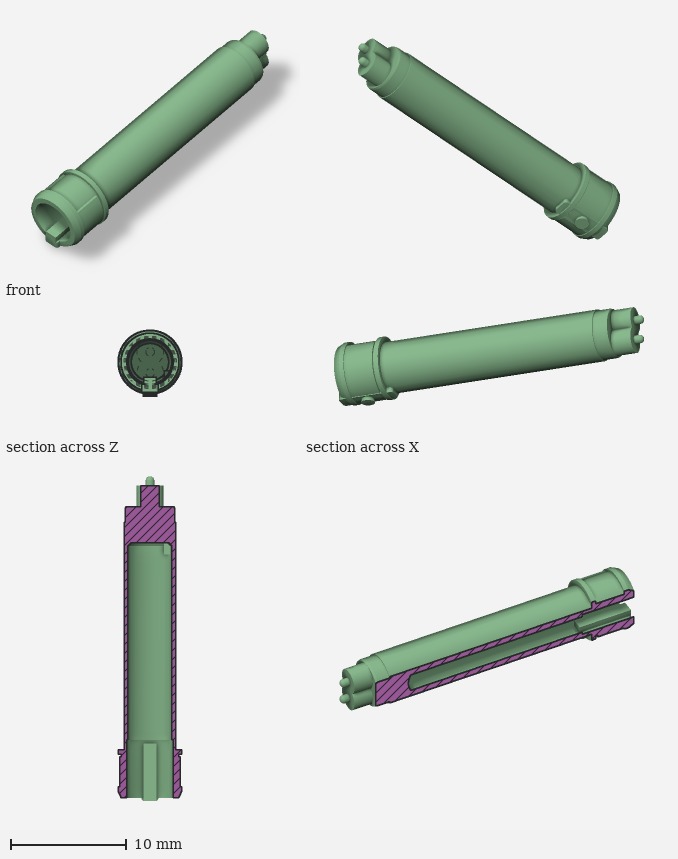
import cadquery as cq


flange_radius = 2.75
mouth_radius = 2.5
mouth_chamfer_length = 0.55
front_rim_end = 0.97
sleeve_radius = 2.5
pad_radius = 2.64
pad_top_z = 1.8
pad_end = 3.58
rear_flange_start = 3.73
rear_flange_end = 4.16

tube_radius = 2.26
tube_end = 23.8
neck_radius = 2.16
neck_end = 25.13
neck_chamfer = 0.2
neck_chamfer_depth = 0.06

bore_mouth_radius = 2.0
bore_inner_radius = 1.88
bore_floor_radius = 1.61
bore_step_y = 5.0
bore_floor_y = 22.0
bore_cone_length = 0.3

stop_left_x = 1.22
stop_top_z = -0.73
stop_length = 1.0

key_front = -0.28
key_rear = 4.71
key_top_z = -1.32
key_bottom_z = -2.6
key_rib_width = 1.1
key_base_width = 1.46
key_base_top_z = -1.92
key_corner_radius = 0.26

button_y = 2.19
button_radius = 0.6
button_neck_radius = 0.56
button_head_height = 0.12
button_bottom_z = -2.95

terminal_offset_z = 0.91
terminal_radius = 1.15
terminal_end = 26.93
pin_radius = 0.37
pin_tip_y = 27.72
pin_tip_rounding = 0.34


def rod(radius, y_start, y_end, z=0.0):
    """Solid cylinder along Y between two Y positions."""
    start_plane = cq.Workplane("XZ", origin=(0, y_start, z))
    return start_plane.circle(radius).extrude(y_start - y_end)


def block(x_start, x_end, y_start, y_end, z_start, z_end):
    """Axis-aligned box given by its limits."""
    size = (x_end - x_start, y_end - y_start, z_end - z_start)
    return cq.Workplane("XY").box(*size, centered=False).translate((x_start, y_start, z_start))


def make_shell():
    """Outer profile of the collar, tube and neck, turned about Y."""
    profile = [
        (0, 0),
        (mouth_radius, 0),
        (flange_radius, mouth_chamfer_length),
        (flange_radius, front_rim_end),
        (sleeve_radius, front_rim_end),
        (sleeve_radius, rear_flange_start),
        (flange_radius, rear_flange_start),
        (flange_radius, rear_flange_end),
        (tube_radius, rear_flange_end),
        (tube_radius, tube_end),
        (neck_radius, tube_end),
        (neck_radius, neck_end - neck_chamfer),
        (neck_radius - neck_chamfer_depth, neck_end),
        (0, neck_end),
    ]
    return cq.Workplane("XY").polyline(profile).close().revolve(360, (0, 0, 0), (0, 1, 0))


def make_pad():
    """Thicker stretch of the collar sleeve, cut off flat below its top."""
    above_pad = block(-pad_radius, pad_radius, 0, rear_flange_end, pad_top_z, flange_radius)
    return rod(pad_radius, front_rim_end, pad_end).cut(above_pad)


def make_bore():
    """Stepped bore that narrows through a short cone to a flat floor."""
    profile = [
        (0, 0),
        (bore_mouth_radius, 0),
        (bore_mouth_radius, bore_step_y),
        (bore_inner_radius, bore_step_y),
        (bore_inner_radius, bore_floor_y - bore_cone_length),
        (bore_floor_radius, bore_floor_y),
        (0, bore_floor_y),
    ]
    return cq.Workplane("XY").polyline(profile).close().revolve(360, (0, 0, 0), (0, 1, 0))


def make_stop():
    """Block standing on the bore floor, merged into the wall."""
    corner = block(
        stop_left_x, tube_radius,
        bore_floor_y - stop_length, bore_floor_y,
        -tube_radius, stop_top_z,
    )
    return corner.intersect(rod(tube_radius, 0, bore_floor_y))


def make_key():
    """Narrow rib inside the bore on a wider base with rounded upright corners."""
    rib = block(
        -key_rib_width / 2, key_rib_width / 2,
        key_front, key_rear,
        key_base_top_z, key_top_z,
    )
    base = block(
        -key_base_width / 2, key_base_width / 2,
        key_front, key_rear,
        key_bottom_z, key_base_top_z,
    )
    base = base.edges("|Z").fillet(key_corner_radius)
    return rib.union(base)


def make_button():
    """Round button with a slightly narrower neck."""
    bottom = cq.Workplane("XY", origin=(0, button_y, button_bottom_z))
    head = bottom.circle(button_radius).extrude(button_head_height)
    neck = bottom.circle(button_neck_radius).extrude(-sleeve_radius - button_bottom_z)
    return head.union(neck)


def make_terminal(z):
    """Terminal barrel with a round-nosed pin."""
    barrel = rod(terminal_radius, neck_end - neck_chamfer, terminal_end, z)
    pin = rod(pin_radius, terminal_end, pin_tip_y, z)
    pin = pin.faces(">Y").edges().fillet(pin_tip_rounding)
    return barrel.union(pin)


result = make_shell().union(make_pad()).cut(make_bore())
result = result.union(make_stop()).union(make_key()).union(make_button())
for side in (1, -1):
    result = result.union(make_terminal(side * terminal_offset_z))